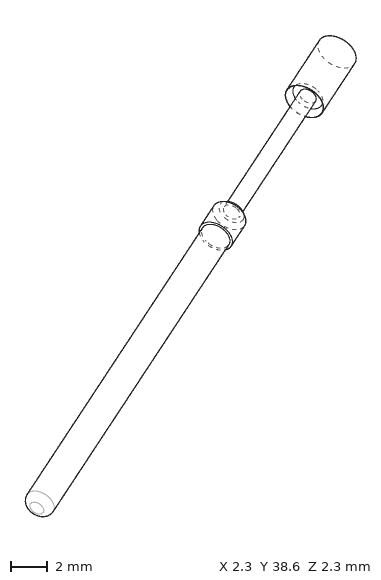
import cadquery as cq


total_length = 38.6
head_length = 4.2
plunger_length = 9.35
collar_length = 2.05
barrel_length = total_length - head_length - plunger_length - collar_length

head_diameter = 2.3
plunger_diameter = 1.0
collar_diameter = 2.0
barrel_diameter = 1.7

collar_chamfer_width = 0.25
collar_chamfer_length = 0.3

barrel_end_radius = 0.43

recess_mouth_diameter = 2.25
recess_floor_diameter = 1.8
recess_depth = 0.45

barrel_end = -barrel_length
plunger_start = collar_length
head_start = plunger_start + plunger_length


def cylinder(diameter, start, length):
    """Cylinder on the Y axis that begins at Y = start and runs toward +Y."""
    base_plane = cq.Plane(origin=(0, start, 0), xDir=(1, 0, 0), normal=(0, 1, 0))
    return cq.Workplane(base_plane).circle(diameter / 2).extrude(length)


def make_barrel():
    """Long barrel with its free end rounded over to a small flat."""
    barrel = cylinder(barrel_diameter, barrel_end, barrel_length)
    return barrel.faces("<Y").edges().fillet(barrel_end_radius)


def make_collar():
    """Press-fit collar, chamfered on the side facing the plunger."""
    radius = collar_diameter / 2
    profile = (
        cq.Workplane("XY")
        .moveTo(0, 0)
        .lineTo(radius, 0)
        .lineTo(radius, collar_length - collar_chamfer_length)
        .lineTo(radius - collar_chamfer_width, collar_length)
        .lineTo(0, collar_length)
        .close()
    )
    return profile.revolve(360, (0, 0, 0), (0, 1, 0))


def make_plunger():
    """Thin plunger shaft from the collar to the floor of the head's recess."""
    return cylinder(plunger_diameter, plunger_start, plunger_length + recess_depth)


def make_head():
    """Cylindrical contact head with a shallow tapered recess around the plunger."""
    head = cylinder(head_diameter, head_start, head_length)
    recess = cq.Solid.makeCone(
        recess_mouth_diameter / 2,
        recess_floor_diameter / 2,
        recess_depth,
        pnt=cq.Vector(0, head_start, 0),
        dir=cq.Vector(0, 1, 0),
    )
    return head.cut(cq.Workplane(recess))


result = make_barrel().union(make_collar()).union(make_plunger()).union(make_head())